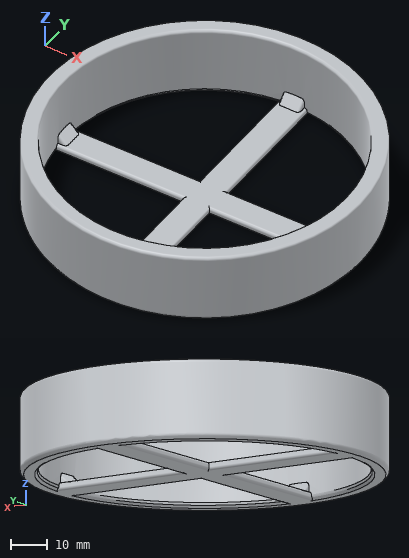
import cadquery as cq

outer_radius = 50.0
bore_radius = 45.0
ring_height = 22.0
rim_fillet = 1.0
base_chamfer = 1.0
base_fillet = 1.0

bar_width = 8.6
bar_thickness = 2.3
bar_fillet = 0.9
bar_reach = (outer_radius + bore_radius) / 2

wedge_leg = 2.9
wedge_width = bar_width - 2 * bar_fillet
wedge_fillet = 0.9


def make_ring():
    """Ring with rounded top edges and blended chamfers on both bottom edges."""
    ring = cq.Workplane("XY").circle(outer_radius).circle(bore_radius).extrude(ring_height)
    ring = ring.faces(">Z").edges().fillet(rim_fillet)
    ring = ring.faces("<Z").edges().chamfer(base_chamfer)
    chamfer_tops = ring.faces("%CYLINDER").edges("%CIRCLE").edges("<Z")
    return chamfer_tops.fillet(base_fillet)


def make_cross():
    """Two crossed bars with rounded upper and lower edges."""
    length = 2 * bar_reach
    along_x = cq.Workplane("XY").box(length, bar_width, bar_thickness, centered=(True, True, False))
    along_y = along_x.rotate((0, 0, 0), (0, 0, 1), 90)
    return along_x.union(along_y).faces("|Z").edges().fillet(bar_fillet)


def make_wedge():
    """45-degree wedge at the +X end of a bar, with rounded sloping edges."""
    toe = bore_radius - wedge_leg
    rise = bar_reach - toe
    wedge = (
        cq.Workplane("XZ")
        .moveTo(toe, bar_thickness)
        .lineTo(bar_reach, bar_thickness)
        .lineTo(bar_reach, bar_thickness + rise)
        .close()
        .extrude(wedge_width / 2, both=True)
    )
    sloping_edges = cq.selectors.ParallelDirSelector(cq.Vector(1, 0, 1))
    return wedge.edges(sloping_edges).fillet(wedge_fillet)


result = make_ring().union(make_cross())
for quarter in range(4):
    result = result.union(make_wedge().rotate((0, 0, 0), (0, 0, 1), 90 * quarter))